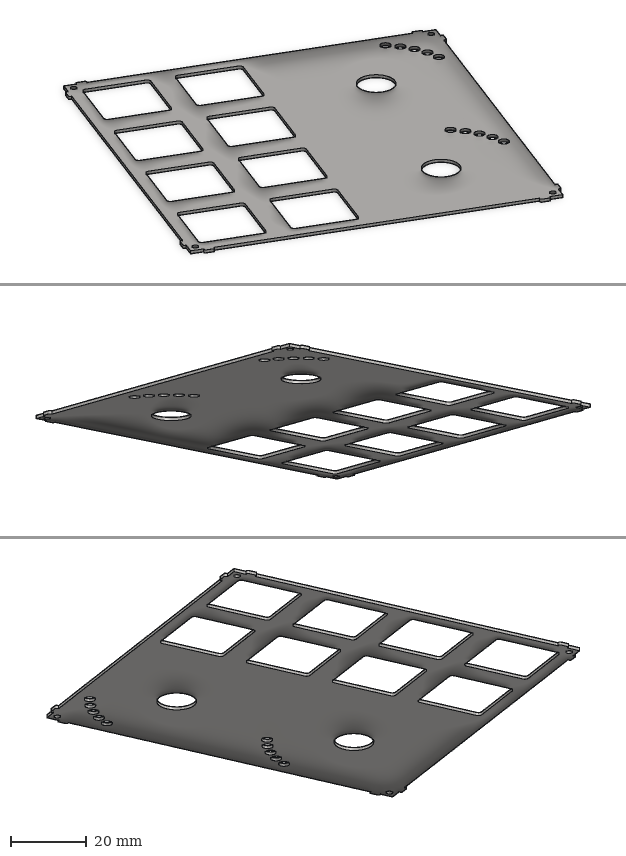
import cadquery as cq
import math

overall_size = 105.6
tab_height = 0.8
plate_size = overall_size - 2 * tab_height
thickness = 0.91

tab_width = 2.9
tab_offset = 46.93
tab_corner_radius = 0.4

screw_hole_diameter = 1.75
screw_hole_offset = 49.95

window_size = 18.95
window_corner_radius = 1.0
window_pitch = 25.85
window_columns = 4
window_rows = 2
window_rows_centre_y = -window_rows * window_pitch / 2

knob_hole_diameter = 10.5
knob_offset = 26.65
knob_centres = [(-knob_offset, knob_offset), (knob_offset, knob_offset)]
indicator_diameter = 2.9
indicator_arc_radius = 23.0
indicator_count = 5
indicator_middle_angle = 135.0
indicator_angle_step = 10.0


def make_plate():
    return cq.Workplane("XY").rect(plate_size, plate_size).extrude(thickness)


def rounded_bar(centre, size_x, size_y):
    return (
        cq.Workplane("XY")
        .center(*centre)
        .rect(size_x, size_y)
        .extrude(thickness)
        .edges("|Z")
        .fillet(tab_corner_radius)
    )


def add_tabs(plate):
    """Each bar crosses the whole plate, so its two ends form opposite tabs."""
    for offset in (-tab_offset, tab_offset):
        plate = plate.union(rounded_bar((0, offset), overall_size, tab_width))
        plate = plate.union(rounded_bar((offset, 0), tab_width, overall_size))
    return plate


def make_round_holes(centres, diameter):
    return cq.Workplane("XY").pushPoints(centres).circle(diameter / 2).extrude(thickness)


def screw_hole_centres():
    offsets = (-screw_hole_offset, screw_hole_offset)
    return [(x, y) for x in offsets for y in offsets]


def make_windows():
    return (
        cq.Workplane("XY")
        .center(0, window_rows_centre_y)
        .rarray(window_pitch, window_pitch, window_columns, window_rows)
        .rect(window_size, window_size)
        .extrude(thickness)
        .edges("|Z")
        .fillet(window_corner_radius)
    )


def indicator_centres(knob_centre):
    """Points evenly spread on an arc about a knob, on its -X +Y side."""
    knob_x, knob_y = knob_centre
    first_angle = indicator_middle_angle - indicator_angle_step * (indicator_count - 1) / 2
    centres = []
    for index in range(indicator_count):
        angle = math.radians(first_angle + index * indicator_angle_step)
        x = knob_x + indicator_arc_radius * math.cos(angle)
        y = knob_y + indicator_arc_radius * math.sin(angle)
        centres.append((x, y))
    return centres


result = add_tabs(make_plate())
result = result.cut(make_round_holes(screw_hole_centres(), screw_hole_diameter))
result = result.cut(make_windows())
result = result.cut(make_round_holes(knob_centres, knob_hole_diameter))
for centre in knob_centres:
    result = result.cut(make_round_holes(indicator_centres(centre), indicator_diameter))